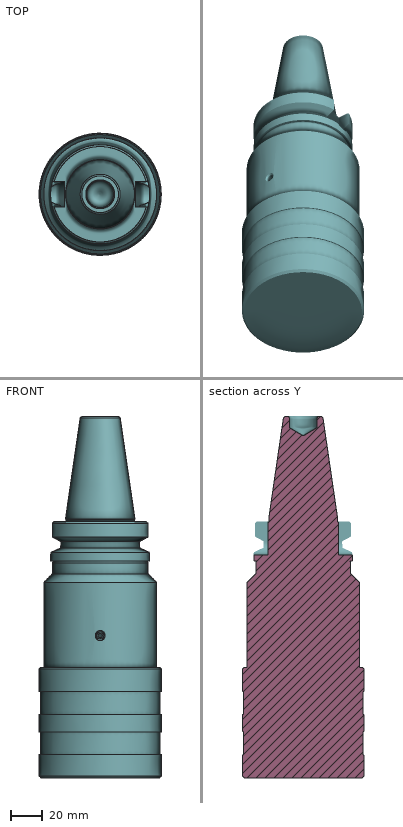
import cadquery as cq

LENGTH = 231.5

GAUGE_RADIUS = 22.2
GAUGE_Z = 166.0
TAPER_SLOPE = 7 / 48
SHANK_CHAMFER = 1.0
SHANK_END_RADIUS = GAUGE_RADIUS - (LENGTH - GAUGE_Z) * TAPER_SLOPE
RELIEF_DEPTH = 0.2
RELIEF_TOP_Z = 165.2

FLANGE_RADIUS = 31.7
FLANGE_TOP_Z = 164.0
FLANGE_TOP_CHAMFER = 1.2
GROOVE_RADIUS = 26.4
UPPER_LIP_Z = 154.3
GROOVE_TOP_Z = 151.3
GROOVE_BOTTOM_Z = 147.2
LOWER_LIP_Z = 144.5
FLANGE_BOTTOM_Z = 138.8

NECK_RADIUS = 30.5
NECK_UNDERCUT = 0.5
NECK_TOP_Z = 137.7
NECK_BOTTOM_Z = 130.7

BODY_RADIUS = 36.0
SHOULDER_Z = 125.9
SHOULDER_EDGE = 0.7

NUT_RADIUS = 39.0
NUT_TOP_Z = 70.8
NUT_CHAMFER = 1.0
NUT_RECESS = 0.7
RECESS_SPANS = [(55.3, 40.7), (29.6, 15.0)]
NUT_BOTTOM_CHAMFER = 1.5

SLOT_WIDTH = 16.2
SLOT_BOTTOM_Z = 142.8
SLOT_FLOOR_X = 22.7
SLOT_OVERSHOOT = 2.3

MOUTH_RADIUS = 9.3
MOUTH_DROP = 1.5
BORE_RADIUS = 8.5
BORE_DEPTH = 7.2
SEAT_RADIUS = 6.7
SEAT_DROP = 1.2
TIP_DROP = 4.0

SCREW_Z = 91.2
SCREW_MOUTH_RADIUS = 3.2
SCREW_RADIUS = 2.3
SCREW_DEPTH = 2.3
SOCKET_RADIUS = 1.5
SOCKET_DEPTH = 2.3


def revolve_profile(points):
    """Revolve a closed outline of (radius, z) points around the Z axis."""
    return cq.Workplane("XZ").polyline(points).close().revolve(360, (0, 0), (0, 1))


def make_body():
    points = [
        (0, LENGTH),
        (SHANK_END_RADIUS - SHANK_CHAMFER, LENGTH),
        (SHANK_END_RADIUS + SHANK_CHAMFER * TAPER_SLOPE, LENGTH - SHANK_CHAMFER),
        (GAUGE_RADIUS, GAUGE_Z),
        (GAUGE_RADIUS - RELIEF_DEPTH, RELIEF_TOP_Z),
        (GAUGE_RADIUS - RELIEF_DEPTH, FLANGE_TOP_Z),
        (FLANGE_RADIUS - FLANGE_TOP_CHAMFER, FLANGE_TOP_Z),
        (FLANGE_RADIUS, FLANGE_TOP_Z - FLANGE_TOP_CHAMFER),
        (FLANGE_RADIUS, UPPER_LIP_Z),
        (GROOVE_RADIUS, GROOVE_TOP_Z),
        (GROOVE_RADIUS, GROOVE_BOTTOM_Z),
        (FLANGE_RADIUS, LOWER_LIP_Z),
        (FLANGE_RADIUS, FLANGE_BOTTOM_Z),
        (NECK_RADIUS - NECK_UNDERCUT, FLANGE_BOTTOM_Z),
        (NECK_RADIUS, NECK_TOP_Z),
        (NECK_RADIUS, NECK_BOTTOM_Z),
        (BODY_RADIUS - SHOULDER_EDGE, SHOULDER_Z),
        (BODY_RADIUS, SHOULDER_Z - SHOULDER_EDGE),
        (BODY_RADIUS, NUT_TOP_Z),
        (NUT_RADIUS - NUT_CHAMFER, NUT_TOP_Z),
        (NUT_RADIUS, NUT_TOP_Z - NUT_CHAMFER),
    ]
    for top, bottom in RECESS_SPANS:
        points += [
            (NUT_RADIUS, top),
            (NUT_RADIUS - NUT_RECESS, top),
            (NUT_RADIUS - NUT_RECESS, bottom),
            (NUT_RADIUS, bottom),
        ]
    points += [
        (NUT_RADIUS, NUT_BOTTOM_CHAMFER),
        (NUT_RADIUS - NUT_BOTTOM_CHAMFER, 0),
        (0, 0),
    ]
    return revolve_profile(points)


def make_shank_bore():
    """Chamfered blind bore with a bevelled seat and a conical floor."""
    bore_bottom = LENGTH - BORE_DEPTH
    seat_bottom = bore_bottom - SEAT_DROP
    return revolve_profile([
        (0, LENGTH),
        (MOUTH_RADIUS, LENGTH),
        (BORE_RADIUS, LENGTH - MOUTH_DROP),
        (BORE_RADIUS, bore_bottom),
        (SEAT_RADIUS, seat_bottom),
        (0, seat_bottom - TIP_DROP),
    ])


def make_drive_slot(side):
    """Round-bottomed keyway open at the top and outside; side is +1 or -1 along X."""
    half_width = SLOT_WIDTH / 2
    arc_z = SLOT_BOTTOM_Z + half_width
    return (
        cq.Workplane("YZ", origin=(side * SLOT_FLOOR_X, 0, 0))
        .moveTo(-half_width, FLANGE_TOP_Z)
        .lineTo(-half_width, arc_z)
        .threePointArc((0, SLOT_BOTTOM_Z), (half_width, arc_z))
        .lineTo(half_width, FLANGE_TOP_Z)
        .close()
        .extrude(side * (FLANGE_RADIUS - SLOT_FLOOR_X + SLOT_OVERSHOOT))
    )


def make_screw_hole(side):
    """Countersunk stepped blind hole entering the body radially; side is +1 or -1 along Y."""
    bevel = SCREW_MOUTH_RADIUS - SCREW_RADIUS
    socket_end = SCREW_DEPTH + SOCKET_DEPTH
    hole = revolve_profile([
        (0, 0),
        (SCREW_MOUTH_RADIUS, 0),
        (SCREW_RADIUS, -bevel),
        (SCREW_RADIUS, -SCREW_DEPTH),
        (SOCKET_RADIUS, -SCREW_DEPTH),
        (SOCKET_RADIUS, -socket_end),
        (0, -socket_end),
    ])
    return hole.rotate((0, 0, 0), (1, 0, 0), -side * 90).translate((0, side * BODY_RADIUS, SCREW_Z))


result = make_body().cut(make_shank_bore())
for side in (-1, 1):
    result = result.cut(make_drive_slot(side)).cut(make_screw_hole(side))